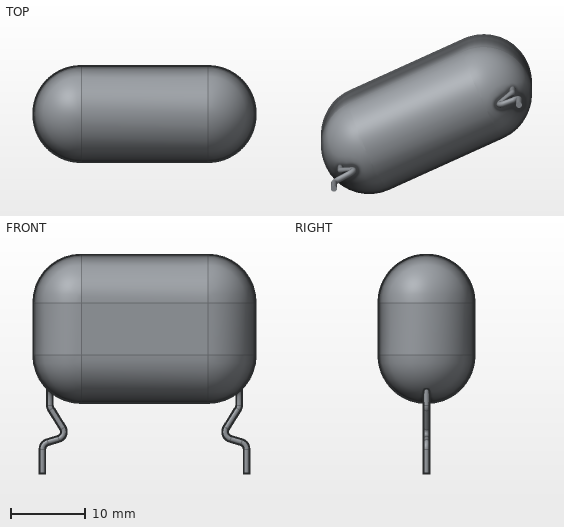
import cadquery as cq

BODY_LENGTH = 30.0
BODY_DEPTH = 13.0
BODY_HEIGHT = 20.0
BODY_RADIUS = BODY_DEPTH / 2
END_CENTRE_X = BODY_LENGTH / 2 - BODY_RADIUS

WIRE_DIAMETER = 0.8
BEND_RADIUS = 1.0
TOP_X = 12.75
KNEE_X = 10.32
FOOT_X = 13.75
FOOT_BOTTOM_Z = -9.48
FOOT_BEND_Z = -5.45
KNEE_Z = -4.45
TOP_BEND_Z = -0.55
WIRE_END_Z = BODY_RADIUS / 2


def make_body():
    """Stadium bar along X, closed at both ends by upright round-ended capsules."""
    bar = (
        cq.Workplane("YZ")
        .center(0, BODY_HEIGHT / 2)
        .slot2D(BODY_HEIGHT, BODY_DEPTH, 90)
        .extrude(END_CENTRE_X, both=True)
    )
    capsule = (
        cq.Workplane("XZ")
        .moveTo(0, 0)
        .radiusArc((BODY_RADIUS, BODY_RADIUS), -BODY_RADIUS)
        .lineTo(BODY_RADIUS, BODY_HEIGHT - BODY_RADIUS)
        .radiusArc((0, BODY_HEIGHT), -BODY_RADIUS)
        .close()
        .revolve(360, (0, 0, 0), (0, 1, 0))
    )
    for side in (-1, 1):
        bar = bar.union(capsule.translate((side * END_CENTRE_X, 0, 0)))
    return bar.solids()


def make_lead(side, body):
    """Kinked round wire on one side, its upper end trimmed to the body surface."""
    corners = [
        (side * FOOT_X, FOOT_BOTTOM_Z),
        (side * FOOT_X, FOOT_BEND_Z),
        (side * KNEE_X, KNEE_Z),
        (side * TOP_X, TOP_BEND_Z),
        (side * TOP_X, WIRE_END_Z),
    ]
    sharp_path = cq.Workplane("XZ").polyline(corners).wire().val()
    path = sharp_path.fillet(BEND_RADIUS)
    wire = (
        cq.Workplane("XY", origin=(side * FOOT_X, 0, FOOT_BOTTOM_Z))
        .circle(WIRE_DIAMETER / 2)
        .sweep(cq.Workplane(path))
    )
    return wire.cut(body).solids()


capacitor_body = make_body()
leads = [make_lead(side, capacitor_body) for side in (-1, 1)]

result = cq.Compound.makeCompound(
    [capacitor_body.val(), *[lead.val() for lead in leads]]
)